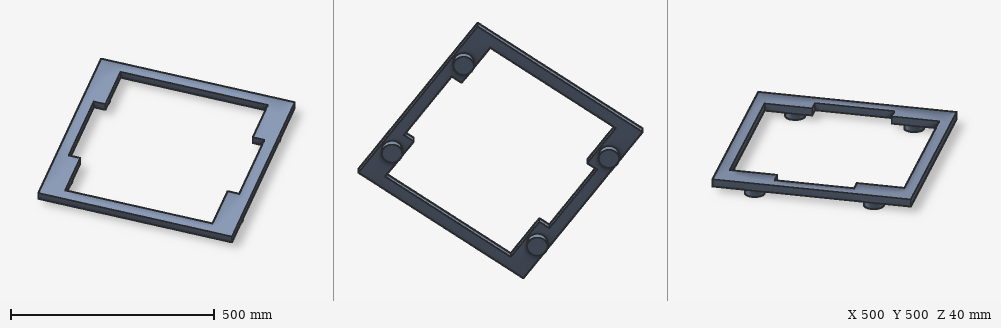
import cadquery as cq

frame_side = 500.0
frame_thickness = 20.0
rail_width = 30.0

pad_width = 2 * rail_width
recess_length = 200.0

foot_diameter = 50.0
foot_height = 20.0
foot_x = frame_side / 2 - pad_width / 2
foot_y = 150.0


def make_frame():
    """Flat frame with a cross-shaped opening, its underside at Z = 0."""
    frame = cq.Workplane("XY").rect(frame_side, frame_side).extrude(frame_thickness)
    inner_side = frame_side - 2 * rail_width
    long_opening = (
        cq.Workplane("XY")
        .rect(frame_side - 2 * pad_width, inner_side)
        .extrude(frame_thickness)
    )
    side_recesses = cq.Workplane("XY").rect(inner_side, recess_length).extrude(frame_thickness)
    return frame.cut(long_opening).cut(side_recesses)


def make_feet():
    """Four cylinders hanging below the frame."""
    return (
        cq.Workplane("XY")
        .rect(2 * foot_x, 2 * foot_y, forConstruction=True)
        .vertices()
        .circle(foot_diameter / 2)
        .extrude(-foot_height)
    )


result = make_frame().union(make_feet())